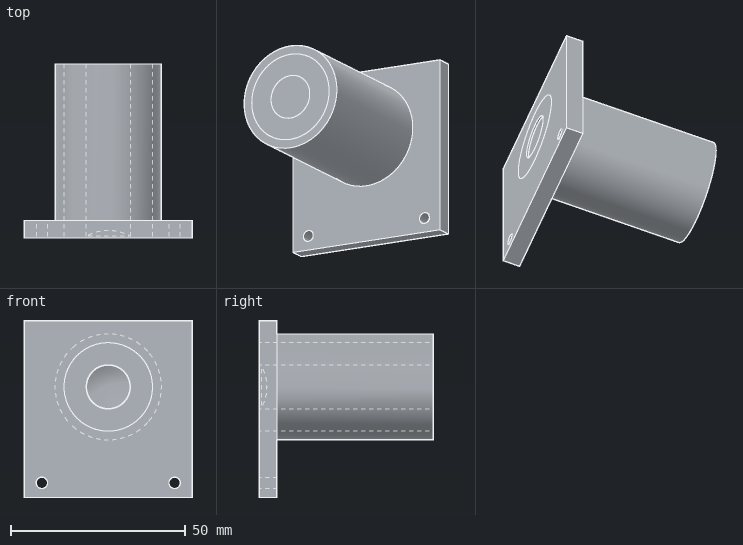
import cadquery as cq

plate_width = 48.25
plate_height = 50.8
plate_thickness = 5.1
overall_depth = 50.0

axis_height = 31.75
barrel_diameter = 30.5
insert_diameter = 25.4
bore_diameter = 12.7

plug_recess = 0.6
dish_radius = 12.7
dish_diameter = 12.45

screw_hole_diameter = 3.2
screw_hole_spacing = 38.1
screw_hole_height = 4.2


def rod(diameter, front, back):
    """Solid cylinder on the common axis, from Y = front to Y = back."""
    axis_plane = cq.Plane(origin=(0, front, axis_height), xDir=(1, 0, 0), normal=(0, 1, 0))
    return cq.Workplane(axis_plane).circle(diameter / 2).extrude(back - front)


def make_plate():
    """Rectangular plate with the insert opening and two screw holes."""
    plate = cq.Workplane("XY").box(
        plate_width, plate_thickness, plate_height, centered=(True, False, False)
    )
    plate = plate.cut(rod(insert_diameter, 0, plate_thickness))
    screw_holes = (
        cq.Workplane("XZ")
        .pushPoints([(side * screw_hole_spacing / 2, screw_hole_height) for side in (-1, 1)])
        .circle(screw_hole_diameter / 2)
        .extrude(-plate_thickness)
    )
    return plate.cut(screw_holes)


def make_barrel():
    """Tube that stands on the back of the plate and surrounds the insert."""
    outside = rod(barrel_diameter, plate_thickness, overall_depth)
    return outside.cut(rod(insert_diameter, plate_thickness, overall_depth))


def make_insert():
    """Thick sleeve that fills the barrel and ends flush with the plate front."""
    return rod(insert_diameter, 0, overall_depth).cut(rod(bore_diameter, 0, overall_depth))


def make_plug():
    """Core of the insert bore, with a spherical dish inside a narrow flat rim."""
    rim_offset = (dish_radius**2 - (dish_diameter / 2) ** 2) ** 0.5
    dish_centre = (0, plug_recess - rim_offset, axis_height)
    dish = cq.Workplane("XY").sphere(dish_radius).translate(dish_centre)
    return rod(bore_diameter, plug_recess, overall_depth).cut(dish)


plate = make_plate()
barrel = make_barrel()
insert = make_insert()
plug = make_plug()

result = cq.Compound.makeCompound([plate.val(), barrel.val(), insert.val(), plug.val()])